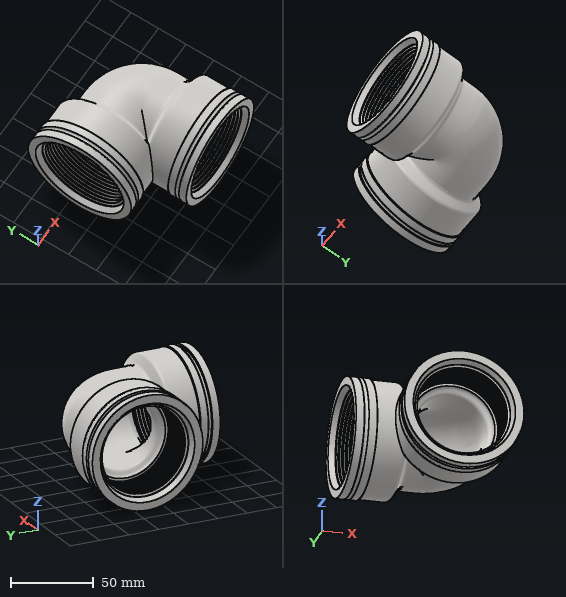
import cadquery as cq
import math

reach = 61.5
bend_radius = 13.5
bend_start = reach - bend_radius
tube_radius = 29.2
bore_radius = 22.0

rim_radius = 37.45
body_radius = 36.7
seal_groove_start = 5.35
seal_groove_end = 8.05
seal_groove_depth = 1.35
rim_end = 13.3
body_start = 13.6

taper_angle = math.radians(60)
blend_radius = 3.0
tube_start = 38.2

mouth_radius = 31.9
mouth_chamfer_depth = 4.0
counterbore_radius = 26.3

thread_root_radius = 29.8
thread_crest_radius = 28.2
thread_pitch = 2.309
thread_flank_angle = math.radians(27.5)
thread_turns = 10
thread_start = 5.3
thread_end = thread_start + thread_turns * thread_pitch


def blended_taper_length(large_radius, small_radius):
    """Axial length of a taper with a tangent round at each end."""
    round_length = blend_radius * math.sin(taper_angle)
    round_drop = blend_radius * (1 - math.cos(taper_angle))
    cone_length = (large_radius - small_radius - 2 * round_drop) / math.tan(taper_angle)
    return cone_length + 2 * round_length


def blended_taper(profile, large_radius, small_radius, start_depth):
    """Continue a (depth, radius) profile through a taper with a tangent round at each end."""
    round_length = blend_radius * math.sin(taper_angle)
    round_drop = blend_radius * (1 - math.cos(taper_angle))
    mid_length = blend_radius * math.sin(taper_angle / 2)
    mid_drop = blend_radius * (1 - math.cos(taper_angle / 2))
    end_depth = start_depth + blended_taper_length(large_radius, small_radius)
    return (
        profile.threePointArc(
            (start_depth + mid_length, large_radius - mid_drop),
            (start_depth + round_length, large_radius - round_drop),
        )
        .lineTo(end_depth - round_length, small_radius + round_drop)
        .threePointArc(
            (end_depth - mid_length, small_radius + mid_drop),
            (end_depth, small_radius),
        )
    )


def revolve_socket_profile(profile):
    """Close a (depth, radius) profile on the axis, revolve it and put its mouth at x = -reach."""
    solid = profile.lineTo(bend_start, 0).close().revolve(360, (0, 0, 0), (1, 0, 0))
    return solid.translate((-reach, 0, 0))


def socket_body():
    """Rim with seal groove, plain body, taper and the straight tube up to the bend."""
    groove_radius = rim_radius - seal_groove_depth
    groove_flat_end = seal_groove_end - seal_groove_depth
    arc_mid_offset = seal_groove_depth * math.sin(math.radians(45))
    taper_start = tube_start - blended_taper_length(body_radius, tube_radius)
    profile = (
        cq.Workplane("XY")
        .lineTo(0, rim_radius)
        .lineTo(seal_groove_start, rim_radius)
        .lineTo(seal_groove_start, groove_radius)
        .lineTo(groove_flat_end, groove_radius)
        .threePointArc(
            (groove_flat_end + arc_mid_offset, rim_radius - arc_mid_offset),
            (seal_groove_end, rim_radius),
        )
        .lineTo(rim_end, rim_radius)
        .lineTo(body_start, body_radius)
    )
    profile = profile.lineTo(taper_start, body_radius)
    profile = blended_taper(profile, body_radius, tube_radius, taper_start)
    return revolve_socket_profile(profile.lineTo(bend_start, tube_radius))


def socket_bore():
    """Mouth chamfer, thread grooves, shoulder, taper and the straight bore up to the bend."""
    flank_length = (thread_root_radius - thread_crest_radius) * math.tan(thread_flank_angle)
    flat_length = thread_pitch / 2 - flank_length
    profile = (
        cq.Workplane("XY")
        .lineTo(0, mouth_radius)
        .lineTo(mouth_chamfer_depth, thread_root_radius)
        .lineTo(thread_start - flank_length, thread_root_radius)
    )
    for turn in range(thread_turns):
        crest_start = thread_start + turn * thread_pitch
        crest_end = crest_start + flat_length
        root_start = crest_end + flank_length
        profile = (
            profile.lineTo(crest_start, thread_crest_radius)
            .lineTo(crest_end, thread_crest_radius)
            .lineTo(root_start, thread_root_radius)
            .lineTo(root_start + flat_length, thread_root_radius)
        )
    profile = (
        profile.lineTo(thread_end, thread_crest_radius)
        .lineTo(thread_end, counterbore_radius)
    )
    profile = blended_taper(profile, counterbore_radius, bore_radius, thread_end)
    return revolve_socket_profile(profile.lineTo(bend_start, bore_radius))


def bend(radius):
    """Quarter turn of a round section; the part of the section past the bend axis is left out."""
    half_height = math.sqrt(radius**2 - bend_radius**2)
    return (
        cq.Workplane("XZ")
        .moveTo(-bend_radius, -half_height)
        .threePointArc((radius, 0), (-bend_radius, half_height))
        .close()
        .revolve(90, (-bend_radius, 0, 0), (-bend_radius, 1, 0))
        .translate((0, -bend_radius, 0))
    )


def elbow(leg, radius):
    """Join a leg along -X, its mirror image along -Y and the bend between them."""
    second_leg = leg.mirror("YZ").rotate((0, 0, 0), (0, 0, 1), -90)
    return leg.union(second_leg).union(bend(radius))


result = elbow(socket_body(), tube_radius).cut(elbow(socket_bore(), bore_radius))